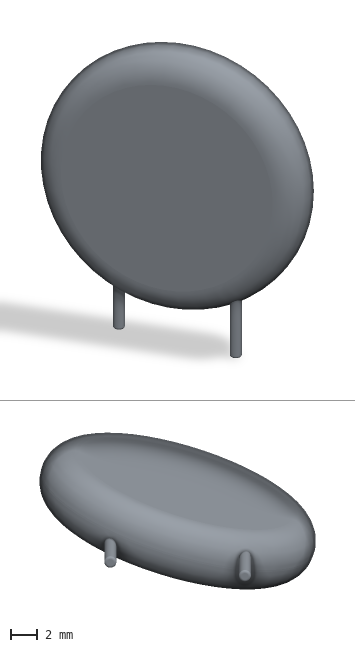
import cadquery as cq

body_diameter = 21.5
body_thickness = 4.7
edge_radius = 2.28

overall_height = 24.53
lead_diameter = 0.9
lead_spacing = 10.0
lead_stagger = 1.86
lead_tip_fillet = 0.2

body_radius = body_diameter / 2
lead_bottom = body_radius - overall_height
lead_top = -body_radius + edge_radius


def make_body():
    disc = cq.Workplane("XZ").circle(body_radius).extrude(body_thickness / 2, both=True)
    return disc.edges().fillet(edge_radius)


def make_lead(x, y):
    lead = (
        cq.Workplane("XY", origin=(x, y, lead_bottom))
        .circle(lead_diameter / 2)
        .extrude(lead_top - lead_bottom)
    )
    return lead.faces("<Z").edges().fillet(lead_tip_fillet)


result = make_body()
for side in (-1, 1):
    result = result.union(make_lead(side * lead_spacing / 2, -side * lead_stagger / 2))